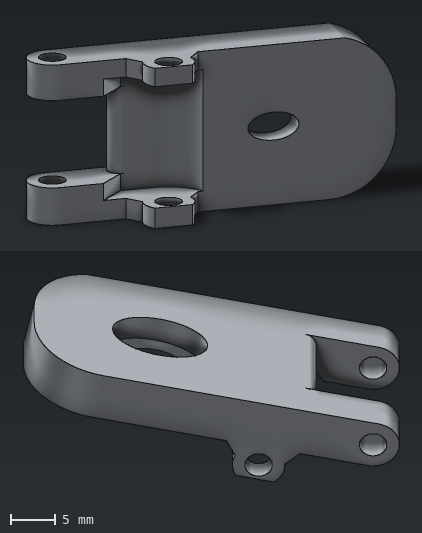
import cadquery as cq
import math

length = 43.0
thickness = 5.98
height = 19.1
half_thickness = thickness / 2

top_trim = 0.2
corner_radius = 8.0

lower_arm_height = 4.45
slot_height = 10.35
slot_top = lower_arm_height + slot_height
pin_hole_diameter = 3.1

nose_radius = 1.45
nose_tip_y = 9.97

lug_x = 8.5
lug_y = 15.1
lug_radius = half_thickness
lug_reach = 10.5
lower_lug_height = 2.45
upper_lug_height = 2.2
web_half_width = 4.3
web_tip_x = 7.75
web_tip_half_width = math.sqrt(lug_radius**2 - (lug_x - web_tip_x)**2)
clearance_radius = lug_x - half_thickness

relief_start_y = 8.13
relief_run = thickness - half_thickness

opening_y = 28.37
opening_z = 9.37
recess_length = 11.0
recess_height = 7.0
recess_depth = half_thickness
through_length = 6.0
through_height = 3.3


def block(x_range, y_range, z_range):
    """Box spanning the given coordinate ranges."""
    size = [high - low for low, high in (x_range, y_range, z_range)]
    corner = (x_range[0], y_range[0], z_range[0])
    return cq.Workplane("XY").box(*size, centered=False).translate(corner)


def cylinder_z(x, y, radius, z_low, z_high):
    """Vertical cylinder between two heights."""
    return cq.Workplane("XY", origin=(x, y, z_low)).circle(radius).extrude(z_high - z_low)


def make_body():
    """Plate with rounded far corners, trimmed top and rounded fork tips."""
    plate = block((0, thickness), (half_thickness, length), (0, height + top_trim))
    plate = plate.edges("|X and >Y").fillet(corner_radius)
    tips = cylinder_z(half_thickness, half_thickness, half_thickness, 0, height)
    return plate.union(tips).intersect(block((0, thickness), (0, length), (0, height)))


def make_slot():
    """Fork gap that leaves the round-nosed tongue standing."""
    z_range = (lower_arm_height, slot_top)
    gap = block((0, thickness), (0, lug_y), z_range)
    tongue = block((0, half_thickness), (nose_tip_y, lug_y), z_range)
    tongue = tongue.edges("|Z and <Y").fillet(nose_radius)
    return gap.cut(tongue)


def make_lug_clearance():
    """Space between the lugs: a cylinder about the lug pin and the arm reliefs."""
    z_low = lower_lug_height
    z_high = height - upper_lug_height
    swing = cylinder_z(lug_x, lug_y, clearance_radius, z_low, z_high)
    relief = (
        cq.Workplane("XY", origin=(0, 0, z_low))
        .moveTo(half_thickness, lug_y)
        .lineTo(half_thickness, relief_start_y + relief_run)
        .lineTo(thickness, relief_start_y)
        .lineTo(thickness, lug_y)
        .close()
        .extrude(z_high - z_low)
    )
    return swing.union(relief)


def make_lug(z_low, z_high):
    """Flat-ended round ear joined to the body by a tapered web."""
    web = (
        cq.Workplane("XY", origin=(0, 0, z_low))
        .moveTo(half_thickness, lug_y - web_half_width)
        .lineTo(thickness, lug_y - web_half_width)
        .lineTo(web_tip_x, lug_y - web_tip_half_width)
        .lineTo(web_tip_x, lug_y + web_tip_half_width)
        .lineTo(thickness, lug_y + web_half_width)
        .lineTo(half_thickness, lug_y + web_half_width)
        .close()
        .extrude(z_high - z_low)
    )
    ear = cylinder_z(lug_x, lug_y, lug_radius, z_low, z_high)
    y_range = (lug_y - web_half_width, lug_y + web_half_width)
    return web.union(ear).intersect(block((half_thickness, lug_reach), y_range, (z_low, z_high)))


def make_elliptical_cut(size_y, size_z, depth):
    """Elliptical cutter running from the X = 0 face into the body."""
    return (
        cq.Workplane("YZ", origin=(0, opening_y, opening_z))
        .ellipse(size_y / 2, size_z / 2)
        .extrude(depth)
    )


result = make_body().cut(make_slot()).cut(make_lug_clearance())
for z_range in ((0, lower_lug_height), (height - upper_lug_height, height)):
    result = result.union(make_lug(*z_range))
for hole_x, hole_y in ((half_thickness, half_thickness), (lug_x, lug_y)):
    result = result.cut(cylinder_z(hole_x, hole_y, pin_hole_diameter / 2, 0, height))
result = result.cut(make_elliptical_cut(recess_length, recess_height, recess_depth))
result = result.cut(make_elliptical_cut(through_length, through_height, thickness))